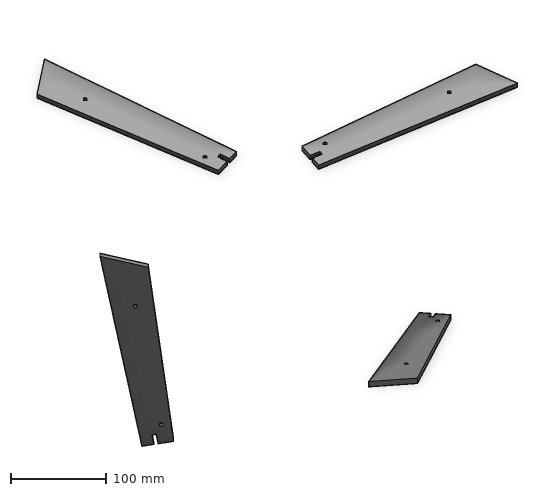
import cadquery as cq

length = 243.8
width = 47.4
thickness = 6.0

slanted_end_run = 22.7
narrow_end_width = 33.9

slot_depth = 12.0
slot_width = 4.5
slot_edge_distance = 12.8

hole_diameter = 4.0
hole_edge_distance = 25.0
hole_end_distance = 23.0
hole_spacing = 152.0


def make_blade():
    """Tapered plate with its straight edge along +Y and a slanted wide end."""
    outline = [
        (0, width),
        (length, width),
        (length, width - narrow_end_width),
        (slanted_end_run, 0),
    ]
    return cq.Workplane("XY").polyline(outline).close().extrude(thickness)


def make_slot():
    """Rectangular cutter reaching in from the narrow end."""
    slot_bottom = width - slot_edge_distance - slot_width
    return (
        cq.Workplane("XY")
        .box(slot_depth, slot_width, thickness, centered=False)
        .translate((length - slot_depth, slot_bottom, 0))
    )


def make_holes():
    """Cutters for the two through holes."""
    hole_y = width - hole_edge_distance
    outer_x = length - hole_end_distance
    centers = [(outer_x - hole_spacing, hole_y), (outer_x, hole_y)]
    return cq.Workplane("XY").pushPoints(centers).circle(hole_diameter / 2).extrude(thickness)


result = make_blade().cut(make_slot()).cut(make_holes())